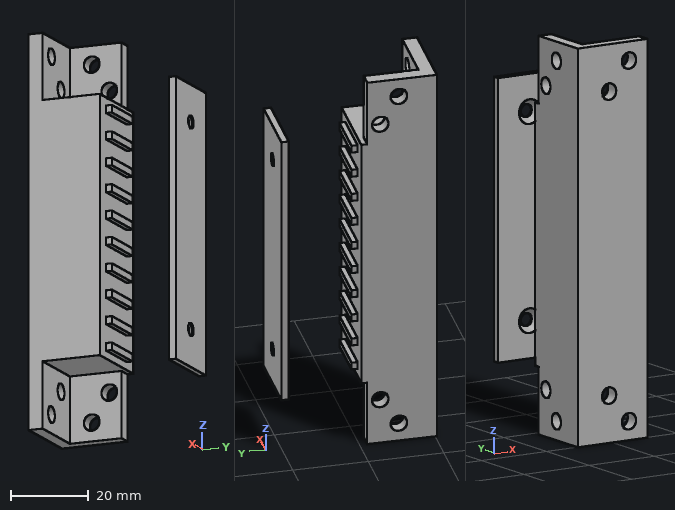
import cadquery as cq

HEIGHT = 105.0
WIDTH = 21.4
SIDE_DEPTH = 18.5
FLANGE_THICKNESS = 4.0

BLOCK_DEPTH = 20.1
BLOCK_HEIGHT = 69.3

RIB_COUNT = 10
RIB_LENGTH = 13.2
RIB_THICKNESS = 2.0
RIB_PROJECTION = 1.6
RIB_SPAN = 63.0
RIB_PITCH = RIB_SPAN / (RIB_COUNT - 1)

HOLE_DIAMETER = 4.3
OUTER_HOLE_Z = HEIGHT / 2 - 5.0
INNER_HOLE_Z = HEIGHT / 2 - 12.5
OUTER_HOLE_X = 5.0
INNER_HOLE_X = -1.0
OUTER_HOLE_Y = 10.1
INNER_HOLE_Y = 15.0

PLATE_WIDTH = 19.3
PLATE_HEIGHT = 75.0
PLATE_THICKNESS = 2.0
PLATE_BACK_Y = 41.0
PLATE_FRONT_Y = PLATE_BACK_Y - PLATE_THICKNESS
PLATE_HOLE_Z = PLATE_HEIGHT / 2 - 10.0
PLATE_HOLE_DIAMETER = 3.4
COUNTERSINK_DIAMETER = 6.5
COUNTERSINK_ANGLE = 90.0


def box(width, depth, height, front_y):
    """Box centred on X and Z whose front face is at front_y."""
    return cq.Workplane("XY").box(width, depth, height, centered=(True, False, True)).translate((0, front_y, 0))


def flange_hole_centres(outer, inner):
    """Hole centres at the top end and their mirror images at the bottom end."""
    points = []
    for side in (1, -1):
        points.append((outer, side * OUTER_HOLE_Z))
        points.append((inner, side * INNER_HOLE_Z))
    return points


def make_angle():
    front_flange = box(WIDTH, FLANGE_THICKNESS, HEIGHT, 0)
    side_flange = box(FLANGE_THICKNESS, SIDE_DEPTH, HEIGHT, 0).translate(((FLANGE_THICKNESS - WIDTH) / 2, 0, 0))
    return front_flange.union(side_flange)


def drill_flanges(body):
    front_holes = (
        cq.Workplane("XZ")
        .pushPoints(flange_hole_centres(OUTER_HOLE_X, INNER_HOLE_X))
        .circle(HOLE_DIAMETER / 2)
        .extrude(-FLANGE_THICKNESS)
    )
    side_holes = (
        cq.Workplane("YZ", origin=(-WIDTH / 2, 0, 0))
        .pushPoints(flange_hole_centres(OUTER_HOLE_Y, INNER_HOLE_Y))
        .circle(HOLE_DIAMETER / 2)
        .extrude(FLANGE_THICKNESS)
    )
    return body.cut(front_holes).cut(side_holes)


def add_ribs(body):
    for index in range(RIB_COUNT):
        rib_z = index * RIB_PITCH - RIB_SPAN / 2
        rib = box(RIB_LENGTH, RIB_PROJECTION, RIB_THICKNESS, BLOCK_DEPTH)
        body = body.union(rib.translate((0, 0, rib_z)))
    return body


def make_bracket():
    block = box(WIDTH, BLOCK_DEPTH, BLOCK_HEIGHT, 0)
    return add_ribs(drill_flanges(make_angle()).union(block))


def make_plate():
    """Flat plate with two holes countersunk from its front face."""
    return (
        box(PLATE_WIDTH, PLATE_THICKNESS, PLATE_HEIGHT, PLATE_FRONT_Y)
        .faces("<Y")
        .workplane(origin=(0, PLATE_FRONT_Y, 0))
        .pushPoints([(0, PLATE_HOLE_Z), (0, -PLATE_HOLE_Z)])
        .cskHole(PLATE_HOLE_DIAMETER, COUNTERSINK_DIAMETER, COUNTERSINK_ANGLE)
    )


bracket = make_bracket()
plate = make_plate()

result = cq.Compound.makeCompound([bracket.val(), plate.val()])